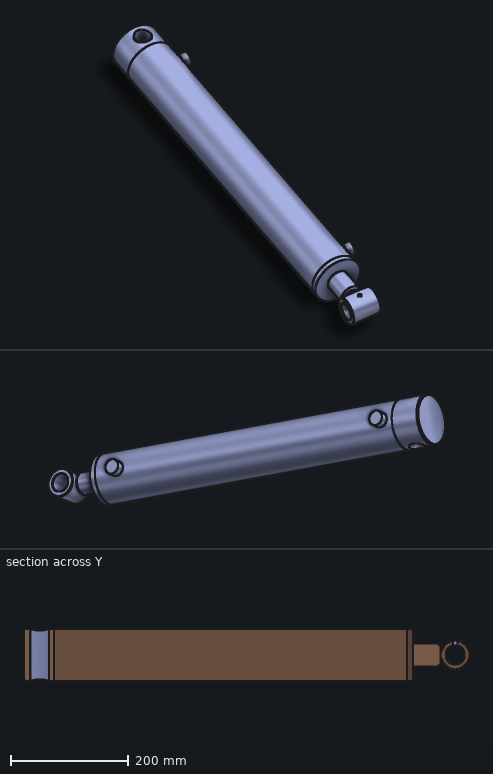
import cadquery as cq

overall_length = 763.0
barrel_diameter = 90.0

cap_length = 53.0
cap_chamfer = 2.0
pin_hole_diameter = 31.0
pin_hole_x = 27.5

gland_length = 10.0
gland_end_x = 666.0

rod_diameter = 40.0
rod_chamfer = 4.0

eye_diameter = 50.0
eye_width = 55.0
eye_bore_diameter = 31.0
eye_outer_chamfer = 1.15
eye_bore_chamfer = 1.0
grease_hole_diameter = 6.0

port_diameter = 26.0
port_height = 15.0
port_positions_x = (75.5, 612.0)

barrel_radius = barrel_diameter / 2
barrel_end_x = gland_end_x - gland_length
eye_radius = eye_diameter / 2
eye_x = overall_length - eye_radius
rod_end_x = overall_length - eye_diameter


def x_cylinder(start_x, end_x, diameter):
    """Solid cylinder on the X axis between two X positions."""
    return cq.Workplane("YZ").workplane(offset=start_x).circle(diameter / 2).extrude(end_x - start_x)


def make_end_cap():
    """Closed end, chamfered at its outer face, with the pin hole running through it along Z."""
    blank = x_cylinder(0, cap_length, barrel_diameter).faces("<X").chamfer(cap_chamfer)
    pin_hole = (
        cq.Workplane("XY", origin=(pin_hole_x, 0, -barrel_radius))
        .circle(pin_hole_diameter / 2)
        .extrude(barrel_diameter)
    )
    return blank.cut(pin_hole)


def make_barrel():
    """Long cylinder between the end cap and the gland."""
    return x_cylinder(cap_length, barrel_end_x, barrel_diameter)


def make_gland():
    """Short disc at the rod end, flush with the barrel."""
    return x_cylinder(barrel_end_x, gland_end_x, barrel_diameter)


def make_rod():
    """Rod from the gland to the near side of the eye."""
    return x_cylinder(gland_end_x, rod_end_x, rod_diameter).faces(">X").chamfer(rod_chamfer)


def y_cylinder_at_eye(diameter):
    """Solid cylinder along Y through the eye centre, as long as the eye is wide."""
    return (
        cq.Workplane("XZ", origin=(eye_x, eye_width / 2, 0))
        .circle(diameter / 2)
        .extrude(eye_width)
    )


def make_eye():
    """Chamfered sleeve with a grease hole from its top into the bore."""
    blank = y_cylinder_at_eye(eye_diameter).faces("|Y").chamfer(eye_outer_chamfer)
    sleeve = blank.cut(y_cylinder_at_eye(eye_bore_diameter))
    bore_rims = sleeve.faces("|Y").edges(cq.selectors.RadiusNthSelector(0))
    grease_hole = (
        cq.Workplane("XY", origin=(eye_x, 0, 0))
        .circle(grease_hole_diameter / 2)
        .extrude(eye_radius)
    )
    return bore_rims.chamfer(eye_bore_chamfer).cut(grease_hole)


def make_port(port_x):
    """Round boss standing on the +Y side of the barrel."""
    return (
        cq.Workplane("XZ", origin=(port_x, barrel_radius, 0))
        .circle(port_diameter / 2)
        .extrude(-port_height)
    )


end_cap = make_end_cap()
barrel = make_barrel()
gland = make_gland()
rod = make_rod()
eye = make_eye()
ports = [make_port(port_x) for port_x in port_positions_x]

result = cq.Compound.makeCompound([
    end_cap.val(),
    barrel.val(),
    gland.val(),
    rod.val(),
    eye.val(),
    *[port.val() for port in ports],
])